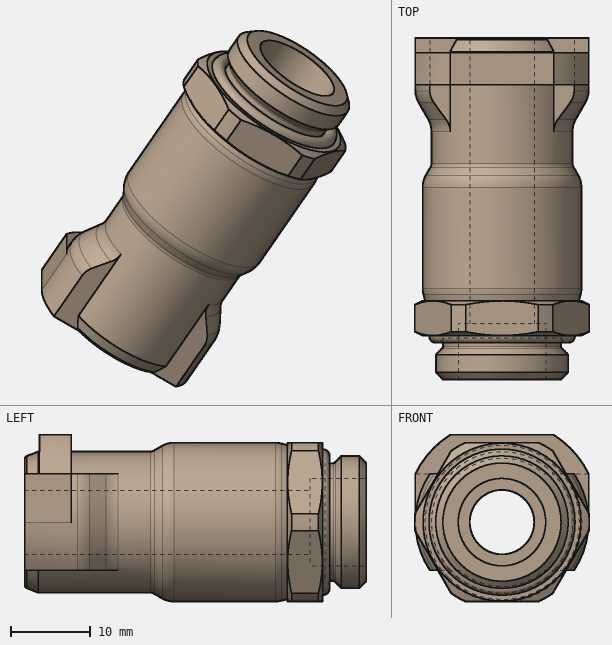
import cadquery as cq
import math

length = 42.95

tip_chamfer = 0.9
thread_radius = 8.35
groove_radius = 7.45
thread_end = 3.15
undercut_round = 0.35
undercut_angle = 45
seal_radius = 9.2
seal_section_radius = 0.9

hex_front = 5.5
hex_back = 9.9
hex_half_flats = 10.0
hex_corner_radius = 11.0
hex_chamfer_length = 0.5
hex_face_radius = 9.9

barrel_radius = 10.0
barrel_front = 11.45
barrel_back = 24.2
front_round_angle = 15
back_round_angle = 30
barrel_round = 3.0
barrel_root_round = 1.0
neck_radius = 8.9
neck_chamfer_start = 41.25
rim_start = 42.7
rim_radius = 8.35
end_radius = rim_radius - (length - rim_start)

wing_radius = 10.9
wing_half_height = 6.05
wing_start = 31.22
wing_round = 3.0
wing_slope_angle = 30

plate_front = 37.05
plate_back = 41.1
plate_top = 11.0
plate_top_half_width = 6.5
plate_shoulder_radius = 12.0

bore_radius = 4.05
counterbore_radius = 5.5
counterbore_depth = 7.1


def round_run(radius, degrees):
    """Axial length of an arc that starts parallel to the axis and turns by the given angle."""
    return radius * math.sin(math.radians(degrees))


def round_drop(radius, degrees):
    """Radial change over that same arc."""
    return radius * (1 - math.cos(math.radians(degrees)))


def revolve(profile):
    """Close a half profile (radius along X, position along Y) and turn it about the axis."""
    return profile.close().revolve(360, (0, 0, 0), (0, 1, 0))


def cylinder(radius, start, end):
    return cq.Workplane("XZ", origin=(0, start, 0)).circle(radius).extrude(start - end)


def block(half_width, start, end, bottom, top):
    size = (2 * half_width, end - start, top - bottom)
    return cq.Workplane("XY").box(*size, centered=(True, False, False)).translate((0, start, bottom))


def make_threaded_end():
    undercut_drop = round_drop(undercut_round, undercut_angle)
    slope_drop = thread_radius - groove_radius - undercut_drop
    slope_end = thread_end + slope_drop / math.tan(math.radians(undercut_angle))
    undercut_end = slope_end + round_run(undercut_round, undercut_angle)
    undercut_middle = (
        groove_radius + round_drop(undercut_round, undercut_angle / 2),
        undercut_end - round_run(undercut_round, undercut_angle / 2),
    )
    return revolve(
        cq.Workplane("XY")
        .moveTo(0, 0)
        .lineTo(thread_radius - tip_chamfer, 0)
        .lineTo(thread_radius, tip_chamfer)
        .lineTo(thread_radius, thread_end)
        .lineTo(groove_radius + undercut_drop, slope_end)
        .threePointArc(undercut_middle, (groove_radius, undercut_end))
        .lineTo(groove_radius, hex_front)
        .lineTo(0, hex_front)
    )


def make_seal_ring():
    """Front half of a round sealing ring bedded in the face of the hexagon."""
    return revolve(
        cq.Workplane("XY")
        .moveTo(seal_radius - 2 * seal_section_radius, hex_front)
        .threePointArc(
            (seal_radius - seal_section_radius, hex_front - seal_section_radius),
            (seal_radius, hex_front),
        )
    )


def make_hexagon():
    sharp_corner_radius = hex_half_flats / math.cos(math.pi / 6)
    prism = (
        cq.Workplane("XZ", origin=(0, hex_front, 0))
        .polygon(6, 2 * sharp_corner_radius)
        .extrude(hex_front - hex_back)
    )
    corner_envelope = revolve(
        cq.Workplane("XY")
        .moveTo(0, hex_front)
        .lineTo(hex_face_radius, hex_front)
        .lineTo(hex_corner_radius, hex_front + hex_chamfer_length)
        .lineTo(hex_corner_radius, hex_back - hex_chamfer_length)
        .lineTo(hex_face_radius, hex_back)
        .lineTo(0, hex_back)
    )
    return prism.intersect(corner_envelope)


def make_barrel():
    front_run = round_run(barrel_round, front_round_angle)
    front_cone_end_radius = barrel_radius - round_drop(barrel_round, front_round_angle)
    front_cone_length = barrel_front - front_run - hex_back
    front_radius = front_cone_end_radius - front_cone_length * math.tan(math.radians(front_round_angle))

    shoulder_y = barrel_back + round_run(barrel_round, back_round_angle)
    shoulder_radius = barrel_radius - round_drop(barrel_round, back_round_angle)
    shoulder_middle = (
        barrel_radius - round_drop(barrel_round, back_round_angle / 2),
        barrel_back + round_run(barrel_round, back_round_angle / 2),
    )
    root_radius = neck_radius + round_drop(barrel_root_round, back_round_angle)
    root_y = shoulder_y + (shoulder_radius - root_radius) / math.tan(math.radians(back_round_angle))
    neck_start = root_y + round_run(barrel_root_round, back_round_angle)
    root_middle = (
        neck_radius + round_drop(barrel_root_round, back_round_angle / 2),
        neck_start - round_run(barrel_root_round, back_round_angle / 2),
    )
    front_middle = (
        barrel_radius - round_drop(barrel_round, front_round_angle / 2),
        barrel_front - round_run(barrel_round, front_round_angle / 2),
    )
    return revolve(
        cq.Workplane("XY")
        .moveTo(0, hex_back)
        .lineTo(front_radius, hex_back)
        .lineTo(front_cone_end_radius, barrel_front - front_run)
        .threePointArc(front_middle, (barrel_radius, barrel_front))
        .lineTo(barrel_radius, barrel_back)
        .threePointArc(shoulder_middle, (shoulder_radius, shoulder_y))
        .lineTo(root_radius, root_y)
        .threePointArc(root_middle, (neck_radius, neck_start))
        .lineTo(neck_radius, neck_chamfer_start)
        .lineTo(rim_radius, rim_start)
        .lineTo(end_radius, length)
        .lineTo(0, length)
    )


def make_wings():
    """Flared skirt trimmed flat above and below, leaving a wing on each side of the neck."""
    run = round_run(wing_round, wing_slope_angle)
    drop = round_drop(wing_round, wing_slope_angle)
    half_run = round_run(wing_round, wing_slope_angle / 2)
    half_drop = round_drop(wing_round, wing_slope_angle / 2)
    slope_run = (wing_radius - neck_radius - 2 * drop) / math.tan(math.radians(wing_slope_angle))
    full_radius_start = wing_start + 2 * run + slope_run

    flared = revolve(
        cq.Workplane("XY")
        .moveTo(0, wing_start)
        .lineTo(neck_radius, wing_start)
        .threePointArc(
            (neck_radius + half_drop, wing_start + half_run),
            (neck_radius + drop, wing_start + run),
        )
        .lineTo(wing_radius - drop, full_radius_start - run)
        .threePointArc(
            (wing_radius - half_drop, full_radius_start - half_run),
            (wing_radius, full_radius_start),
        )
        .lineTo(wing_radius, length)
        .lineTo(0, length)
    )
    return flared.intersect(block(wing_radius, wing_start, length, -wing_half_height, wing_half_height))


def make_head_plate():
    """Flat-sided upper cheeks over the wings, with a shouldered plate standing above them."""
    square_cheeks = block(wing_radius, plate_front, length, 0, wing_half_height)
    plate = (
        cq.Workplane("XZ", origin=(0, plate_front, 0))
        .moveTo(-wing_radius, 0)
        .lineTo(-wing_radius, wing_half_height)
        .radiusArc((-plate_top_half_width, plate_top), plate_shoulder_radius)
        .lineTo(plate_top_half_width, plate_top)
        .radiusArc((wing_radius, wing_half_height), plate_shoulder_radius)
        .lineTo(wing_radius, 0)
        .close()
        .extrude(plate_front - plate_back)
    )
    return square_cheeks.union(plate)


body = make_threaded_end()
for section in (make_seal_ring(), make_hexagon(), make_barrel(), make_wings(), make_head_plate()):
    body = body.union(section)

bore = cylinder(bore_radius, 0, length)
counterbore = cylinder(counterbore_radius, 0, counterbore_depth)
result = body.cut(bore).cut(counterbore)